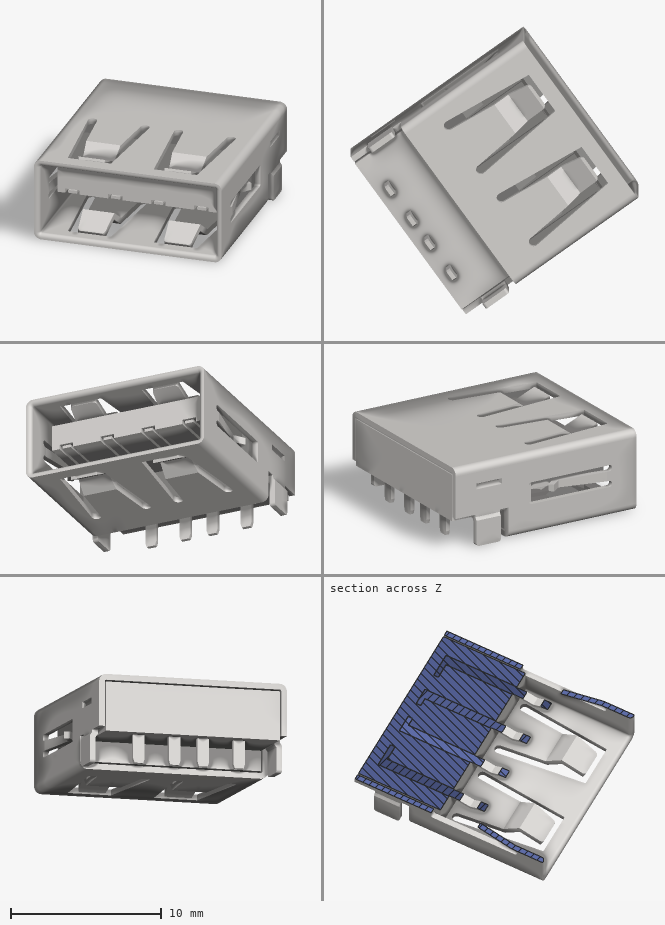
import cadquery as cq
import math

LENGTH = 14.1
HEIGHT = 5.71
SHELL_WIDTH = 13.1
SHEET = 0.4
BEND_RADIUS = 0.5
MOUTH_RADIUS = 0.28

FRONT_Y = -LENGTH / 2
REAR_Y = LENGTH / 2
HALF_SHELL = SHELL_WIDTH / 2

CUTOUT_FRONT_Y = 2.95
CUTOUT_TOP_Z = 2.2

TOTAL_WIDTH = 13.4
LEG_WIDTH = 1.9
LEG_CENTER_Y = 4.57
LEG_JOG_TOP_Z = 2.03
LEG_JOG_BOTTOM_Z = 1.82
LEG_CORNER_RADIUS = 0.2
LEG_STEP = (TOTAL_WIDTH - SHELL_WIDTH) / 2

DIMPLE_LENGTH = 1.97
DIMPLE_HEIGHT = 0.41
DIMPLE_DEPTH = 0.2
DIMPLE_RADIUS = 0.18
DIMPLE_Y = 4.43
DIMPLE_Z = 4.19

SPRING_PITCH = 6.0
SPRING_ROOT_Y = 0.28
SPRING_SLOT_WIDTH = 0.62
SPRING_ROOT_HALF = 1.52
SPRING_TIP_HALF = 0.93
SPRING_WINDOW_LENGTH = 6.33
SPRING_WINDOW_END_HALF = 1.51
SPRING_BEND = 3.3
SPRING_VALLEY = 4.35
SPRING_TIP = 5.82
SPRING_VALLEY_DEPTH = 0.75
SPRING_TIP_DEPTH = 0.03
SPRING_CORNER_RADIUS = 0.25

SIDE_ROOT_Y = -4.92
SIDE_Z = 2.86
SIDE_SLOT_WIDTH = 0.44
SIDE_ROOT_HALF = 0.34
SIDE_TIP_HALF = 0.24
SIDE_WINDOW_LENGTH = 6.23
SIDE_BEND = 0.18
SIDE_VALLEY = 3.61
SIDE_TIP = 4.31
SIDE_VALLEY_DEPTH = 0.55
SIDE_TIP_DEPTH = 0.01
SIDE_CORNER_RADIUS = 0.07
SIDE_WINDOW_CORNER_RADIUS = 0.14

HOUSING_WIDTH = 12.13
HOUSING_BOTTOM_Z = 0.51
HOUSING_TOP_Z = HEIGHT - HOUSING_BOTTOM_Z
HOUSING_FRONT_Y = 0.87
HOUSING_REAR_BOTTOM_Z = 1.89
TONGUE_WIDTH = 11.11
TONGUE_FRONT_Y = -5.09
TONGUE_BOTTOM_Z = 2.71
TONGUE_TOP_Z = 4.5
GROOVE_WIDTH = 1.0
GROOVE_TOP_Z = 3.02

CONTACT_COUNT = 4
CONTACT_THICKNESS = 0.2
BLADE_WIDTH = 0.6
BLADE_PITCH = 3.0
BLADE_TIP_Y = -5.05
BLADE_TIP_BEND_Y = -2.12
BLADE_TIP_BOTTOM_Z = 2.72
BLADE_LOW_Y = -0.72
BLADE_LOW_BOTTOM_Z = 2.2
BLADE_REAR_BOTTOM_Z = 2.57
TAIL_WIDTH = 0.8
TAIL_THICKNESS = 0.3
TAIL_FRONT_Y = 5.88
TAIL_REAR_Y = TAIL_FRONT_Y + TAIL_THICKNESS
TAIL_INNER_X = 1.0
TAIL_OUTER_X = 3.5
TAIL_TAPER_HEIGHT = 0.3
TAIL_TAPER_WIDTH = 0.1
CROSSBAR_BOTTOM_Z = 2.12


def box(x_range, y_range, z_range):
    """Box between two limits on each axis."""
    spans = [high - low for low, high in (x_range, y_range, z_range)]
    return cq.Workplane("XY").box(*spans, centered=False).translate((x_range[0], y_range[0], z_range[0]))


def both_sides(body):
    """A body on the -X side together with its mirror image on the +X side."""
    return body.union(body.mirror("YZ"))


def offset_strip(path, thickness):
    """Closed outline of a strip: the path, then the path offset to its right with mitred bends."""
    angles = [math.atan2(b[1] - a[1], b[0] - a[0]) for a, b in zip(path, path[1:])]
    before = [angles[0]] + angles
    after = angles + [angles[-1]]
    inner = []
    for (x, y), first, second in zip(path, before, after):
        middle = (first + second) / 2
        reach = thickness / math.cos((second - first) / 2)
        inner.append((x + reach * math.sin(middle), y - reach * math.cos(middle)))
    return path + inner[::-1]



def spring_window(root_half, slot_width, length, end_half, corner_radius=0):
    """Cutter for the opening around a spring, with a round end on each side slot."""
    outer_half = root_half + slot_width
    outline = [(-outer_half, 0), (outer_half, 0), (end_half, -length), (-end_half, -length)]
    window = cq.Workplane("XY").polyline(outline).close().extrude(-SHEET)
    if corner_radius:
        window = window.edges("|Z and <Y").fillet(corner_radius)
    slot_center = root_half + slot_width / 2
    ends = (
        cq.Workplane("XY")
        .pushPoints([(-slot_center, 0), (slot_center, 0)])
        .circle(slot_width / 2)
        .extrude(-SHEET)
    )
    return window.union(ends)


def spring_leaf(root_half, tip_half, bend, valley, tip, corner_radius):
    """Tapered strip that bends inward to a valley and back out; valley and tip are (station, depth)."""
    outer_path = [(0, 0), (bend, 0), (valley[0], -valley[1]), (tip[0], -tip[1])]
    side_outline = [(-station, z) for station, z in offset_strip(outer_path, SHEET)]
    strip = cq.Workplane("YZ").polyline(side_outline).close().extrude(root_half, both=True)
    end = min(y for y, z in side_outline)
    plan_outline = [(-root_half, 0), (root_half, 0), (tip_half, end), (-tip_half, end)]
    plan = (
        cq.Workplane("XY")
        .polyline(plan_outline)
        .close()
        .extrude(HEIGHT / 2, both=True)
        .edges("|Z and <Y")
        .fillet(corner_radius)
    )
    return strip.intersect(plan)


def on_top_and_bottom(body):
    """Copies of a spring part at both pitch positions in the top and bottom walls."""
    copies = None
    for x in (-SPRING_PITCH / 2, SPRING_PITCH / 2):
        upper = body.translate((x, SPRING_ROOT_Y, HEIGHT))
        lower = body.mirror("XY").translate((x, SPRING_ROOT_Y, 0))
        pair = upper.union(lower)
        copies = pair if copies is None else copies.union(pair)
    return copies


def on_side_walls(body):
    """Copies of a spring part in both side walls, pointing to the rear."""
    turned = body.rotate((0, 0, 0), (0, 0, 1), 180).rotate((0, 0, 0), (0, 1, 0), -90)
    return both_sides(turned.translate((-HALF_SHELL, SIDE_ROOT_Y, SIDE_Z)))


def shell_tube():
    """Closed rectangular sheet tube, rounded at the inside edge of its mouth."""
    inner_width = SHELL_WIDTH - 2 * SHEET
    inner_height = HEIGHT - 2 * SHEET
    front = cq.Workplane("XZ", origin=(0, REAR_Y, HEIGHT / 2))
    outside = front.rect(SHELL_WIDTH, HEIGHT).extrude(LENGTH).edges("|Y").fillet(BEND_RADIUS)
    inside = front.rect(inner_width, inner_height).extrude(LENGTH)
    inside = inside.edges("|Y").fillet(BEND_RADIUS - SHEET)
    tube = outside.cut(inside)
    half_wall = SHEET / 2
    mouth_edges = cq.selectors.BoxSelector(
        (-HALF_SHELL + half_wall, FRONT_Y - half_wall, half_wall),
        (HALF_SHELL - half_wall, FRONT_Y + half_wall, HEIGHT - half_wall),
        boundingbox=True,
    )
    return tube.edges(mouth_edges).fillet(MOUTH_RADIUS)


def mounting_leg():
    """Leg below the -X side wall, stepped outward by a short jog."""
    outer_path = [
        (-HALF_SHELL - LEG_STEP, 0),
        (-HALF_SHELL - LEG_STEP, LEG_JOG_BOTTOM_Z),
        (-HALF_SHELL, LEG_JOG_TOP_Z),
        (-HALF_SHELL, CUTOUT_TOP_Z),
    ]
    return (
        cq.Workplane("XZ", origin=(0, LEG_CENTER_Y, 0))
        .polyline(offset_strip(outer_path, SHEET))
        .close()
        .extrude(LEG_WIDTH / 2, both=True)
        .edges("|X and <Z")
        .fillet(LEG_CORNER_RADIUS)
    )


def staking_dimple():
    """Cutter for the round-bottomed recess in the -X side wall."""
    return (
        cq.Workplane("YZ", origin=(-HALF_SHELL, DIMPLE_Y, DIMPLE_Z))
        .rect(DIMPLE_LENGTH, DIMPLE_HEIGHT)
        .extrude(DIMPLE_DEPTH)
        .faces(">X")
        .edges()
        .fillet(DIMPLE_RADIUS)
    )


def make_shell():
    spring_opening = spring_window(
        SPRING_ROOT_HALF, SPRING_SLOT_WIDTH, SPRING_WINDOW_LENGTH, SPRING_WINDOW_END_HALF
    )
    spring = spring_leaf(
        SPRING_ROOT_HALF,
        SPRING_TIP_HALF,
        SPRING_BEND,
        (SPRING_VALLEY, SPRING_VALLEY_DEPTH),
        (SPRING_TIP, SPRING_TIP_DEPTH),
        SPRING_CORNER_RADIUS,
    )
    side_opening = spring_window(
        SIDE_ROOT_HALF,
        SIDE_SLOT_WIDTH,
        SIDE_WINDOW_LENGTH,
        SIDE_ROOT_HALF + SIDE_SLOT_WIDTH,
        SIDE_WINDOW_CORNER_RADIUS,
    )
    side_spring = spring_leaf(
        SIDE_ROOT_HALF,
        SIDE_TIP_HALF,
        SIDE_BEND,
        (SIDE_VALLEY, SIDE_VALLEY_DEPTH),
        (SIDE_TIP, SIDE_TIP_DEPTH),
        SIDE_CORNER_RADIUS,
    )
    rear_cutout = box((-HALF_SHELL, HALF_SHELL), (CUTOUT_FRONT_Y, REAR_Y), (0, CUTOUT_TOP_Z))
    return (
        shell_tube()
        .cut(rear_cutout)
        .union(both_sides(mounting_leg()))
        .cut(both_sides(staking_dimple()))
        .cut(on_top_and_bottom(spring_opening))
        .union(on_top_and_bottom(spring))
        .cut(on_side_walls(side_opening))
        .union(on_side_walls(side_spring))
    )


def make_contact(blade_x, tail_x):
    """Sprung blade under the tongue, joined by a crossbar to a tapered solder tail."""
    bottom_path = [
        (TAIL_REAR_Y, BLADE_REAR_BOTTOM_Z),
        (HOUSING_FRONT_Y, BLADE_REAR_BOTTOM_Z),
        (BLADE_LOW_Y, BLADE_LOW_BOTTOM_Z),
        (BLADE_TIP_BEND_Y, BLADE_TIP_BOTTOM_Z),
        (BLADE_TIP_Y, BLADE_TIP_BOTTOM_Z),
    ]
    blade = (
        cq.Workplane("YZ", origin=(blade_x, 0, 0))
        .polyline(offset_strip(bottom_path, CONTACT_THICKNESS))
        .close()
        .extrude(BLADE_WIDTH / 2, both=True)
    )
    bar_start = min(blade_x - BLADE_WIDTH / 2, tail_x - TAIL_WIDTH / 2)
    bar_end = max(blade_x + BLADE_WIDTH / 2, tail_x + TAIL_WIDTH / 2)
    bar_top = BLADE_REAR_BOTTOM_Z + CONTACT_THICKNESS
    crossbar = box((bar_start, bar_end), (TAIL_FRONT_Y, TAIL_REAR_Y), (CROSSBAR_BOTTOM_Z, bar_top))
    half = TAIL_WIDTH / 2
    tip_half = half - TAIL_TAPER_WIDTH
    tail = (
        cq.Workplane("XZ", origin=(tail_x, TAIL_REAR_Y, 0))
        .polyline([
            (-half, CROSSBAR_BOTTOM_Z),
            (-half, TAIL_TAPER_HEIGHT),
            (-tip_half, 0),
            (tip_half, 0),
            (half, TAIL_TAPER_HEIGHT),
            (half, CROSSBAR_BOTTOM_Z),
        ])
        .close()
        .extrude(TAIL_THICKNESS)
    )
    return blade.union(crossbar).union(tail)


def make_housing(blade_positions, contacts):
    """Insulating block with a tongue, cut to receive the contacts."""
    half_width = HOUSING_WIDTH / 2
    half_tongue = TONGUE_WIDTH / 2
    half_groove = GROOVE_WIDTH / 2
    block = box((-half_width, half_width), (HOUSING_FRONT_Y, REAR_Y), (HOUSING_BOTTOM_Z, HOUSING_TOP_Z))
    rear_step = box(
        (-half_width, half_width), (CUTOUT_FRONT_Y, REAR_Y), (HOUSING_BOTTOM_Z, HOUSING_REAR_BOTTOM_Z)
    )
    tongue = box(
        (-half_tongue, half_tongue), (TONGUE_FRONT_Y, HOUSING_FRONT_Y), (TONGUE_BOTTOM_Z, TONGUE_TOP_Z)
    )
    housing = block.cut(rear_step).union(tongue)
    for x in blade_positions:
        groove = box(
            (x - half_groove, x + half_groove),
            (TONGUE_FRONT_Y, HOUSING_FRONT_Y),
            (TONGUE_BOTTOM_Z, GROOVE_TOP_Z),
        )
        housing = housing.cut(groove)
    for contact in contacts:
        housing = housing.cut(contact)
    return housing


middle_index = (CONTACT_COUNT - 1) / 2
blade_positions = [BLADE_PITCH * (index - middle_index) for index in range(CONTACT_COUNT)]
tail_positions = [-TAIL_OUTER_X, -TAIL_INNER_X, TAIL_INNER_X, TAIL_OUTER_X]

shell = make_shell()
contacts = [make_contact(blade, tail) for blade, tail in zip(blade_positions, tail_positions)]
housing = make_housing(blade_positions, contacts)

result = cq.Compound.makeCompound([
    shell.solids().val(),
    housing.solids().val(),
    *[contact.solids().val() for contact in contacts],
])